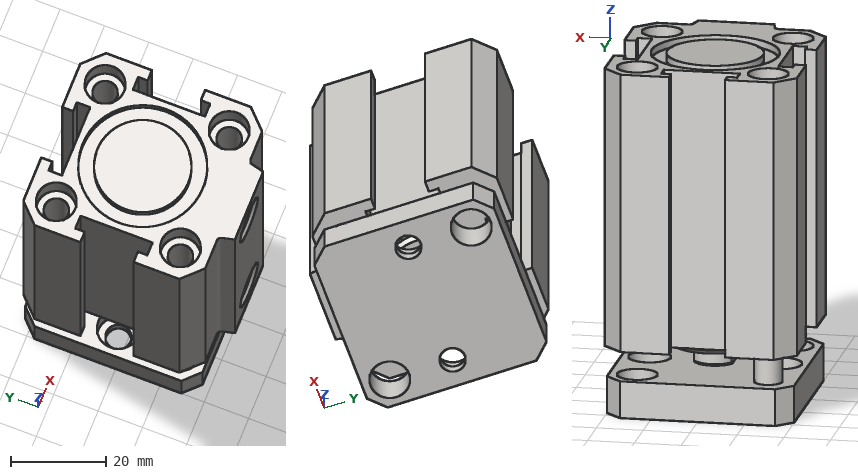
import cadquery as cq

total_height = 75.0
plate_thickness = 8.0
plate_gap = 6.5
housing_bottom = plate_thickness + plate_gap
housing_height = total_height - housing_bottom

housing_width = 41.0
housing_half = housing_width / 2
housing_chamfer = 4.2

overall_depth = 44.5
rail_height = overall_depth - housing_width
rail_face_width = 16.2
rail_root_width = 17.85
rail_root_radius = 1.0

slot_opening = 12.0
slot_inner_width = 16.2
slot_lip = 2.5
slot_depth = 5.5

hole_spacing = 28.0
hole_offset = hole_spacing / 2
hole_diameter = 5.3
counterbore_diameter = 8.55
counterbore_depth = 5.55

recess_diameter = 27.1
cap_diameter = 20.5
recess_depth = 1.65

port_diameter = 8.5
port_chamfer = 0.8
port_depth = 9.0
port_top_inset = 9.2
port_spacing = 42.0

collar_diameter = 20.5
collar_height = 2.55
collar_chamfer = 1.0
rod_diameter = 10.0
rod_tip_chamfer = 0.49
flat_width = 8.0
flat_top_drop = 3.5

plate_width = 40.0
plate_chamfer = 3.45
guide_diameter = 6.0
guide_insertion = 30.0
plate_hole_diameter = 5.5
plate_counterbore_diameter = 9.0
plate_counterbore_depth = 5.55

guide_points = [(-hole_offset, hole_offset), (hole_offset, -hole_offset)]
clearance_points = [(-hole_offset, -hole_offset), (hole_offset, hole_offset)]
side_points = [(-hole_offset, 0), (hole_offset, 0)]


def cylinders(points, diameter, bottom, height):
    """Upright cylinders at the given XY points."""
    return (
        cq.Workplane("XY")
        .workplane(offset=bottom)
        .pushPoints(points)
        .circle(diameter / 2)
        .extrude(height)
    )


def chamfered_square(width, chamfer, bottom, height):
    """Upright square block with its four vertical edges chamfered."""
    block = cq.Workplane("XY").workplane(offset=bottom).rect(width, width).extrude(height)
    return block.edges("|Z").chamfer(chamfer)


def make_outer_profile():
    """Chamfered block with a tapered rail on its -Y face and a concave fillet at each root."""
    root_half = rail_root_width / 2
    face_half = rail_face_width / 2
    body = chamfered_square(housing_width, housing_chamfer, housing_bottom, housing_height)
    rail = (
        cq.Workplane("XY")
        .workplane(offset=housing_bottom)
        .polyline([
            (-root_half, 0),
            (-root_half, -housing_half),
            (-face_half, -housing_half - rail_height),
            (face_half, -housing_half - rail_height),
            (root_half, -housing_half),
            (root_half, 0),
        ])
        .close()
        .extrude(housing_height)
    )
    edge_margin = 0.1
    root_edges = cq.selectors.BoxSelector(
        (-root_half - edge_margin, -housing_half - edge_margin, 0),
        (root_half + edge_margin, -housing_half + edge_margin, total_height),
    )
    return body.union(rail).edges("|Z").edges(root_edges).fillet(rail_root_radius)


def t_slot(angle):
    """T-shaped slot cutter for the +X face, turned about Z."""
    opening = cq.Workplane("XY").box(slot_depth, slot_opening, housing_height, centered=(False, True, False))
    inner = (
        cq.Workplane("XY")
        .box(slot_depth - slot_lip, slot_inner_width, housing_height, centered=(False, True, False))
    )
    slot = opening.union(inner).translate((housing_half - slot_depth, 0, housing_bottom))
    return slot.rotate((0, 0, 0), (0, 0, 1), angle)


def port(height):
    """Blind air port cutter with a chamfered mouth, entering the rail along +Y."""
    radius = port_diameter / 2
    return (
        cq.Workplane("XY")
        .polyline([
            (0, 0),
            (radius + port_chamfer, 0),
            (radius, port_chamfer),
            (radius, port_depth),
            (0, port_depth),
        ])
        .close()
        .revolve(360, (0, 0, 0), (0, 1, 0))
        .translate((0, -housing_half - rail_height, height))
    )


def make_piston_rod():
    """Collar and rod end below the housing, with two wrench flats facing -X and +X."""
    collar = cylinders([(0, 0)], collar_diameter, housing_bottom - collar_height, collar_height)
    collar = collar.faces("<Z").chamfer(collar_chamfer)
    rod = cylinders([(0, 0)], rod_diameter, plate_thickness, plate_gap)
    rod = rod.faces("<Z").chamfer(rod_tip_chamfer)
    flat_height = plate_gap - flat_top_drop
    flat_zone = cq.Workplane("XY").box(
        rod_diameter, rod_diameter, flat_height, centered=(True, True, False)
    )
    flat_core = cq.Workplane("XY").box(
        flat_width, rod_diameter, flat_height, centered=(True, True, False)
    )
    waste = flat_zone.cut(flat_core).translate((0, 0, plate_thickness))
    return collar.union(rod.cut(waste))


def make_housing():
    """Cylinder housing in one piece with its collar and rod end."""
    body = make_outer_profile()
    for angle in (0, 90, 180):
        body = body.cut(t_slot(angle))

    corners = guide_points + clearance_points
    body = body.cut(cylinders(corners, hole_diameter, housing_bottom, housing_height))
    body = body.cut(
        cylinders(corners, counterbore_diameter, total_height - counterbore_depth, counterbore_depth)
    )
    body = body.cut(cylinders(guide_points, guide_diameter, housing_bottom, guide_insertion))

    recess_floor = total_height - recess_depth
    recess = cylinders([(0, 0)], recess_diameter, recess_floor, recess_depth)
    cap = cylinders([(0, 0)], cap_diameter, recess_floor, recess_depth)
    body = body.cut(recess.cut(cap))

    top_port_height = total_height - port_top_inset
    for height in (top_port_height, top_port_height - port_spacing):
        body = body.cut(port(height))
    return body.union(make_piston_rod())


def make_end_plate():
    """End plate in one piece with its two guide rods."""
    plate = chamfered_square(plate_width, plate_chamfer, 0, plate_thickness)
    plate = plate.cut(cylinders(clearance_points, counterbore_diameter, 0, plate_thickness))
    plate = plate.cut(cylinders(side_points, plate_hole_diameter, 0, plate_thickness))
    plate = plate.cut(
        cylinders(
            side_points,
            plate_counterbore_diameter,
            plate_thickness - plate_counterbore_depth,
            plate_counterbore_depth,
        )
    )
    guides = cylinders(guide_points, guide_diameter, plate_thickness, plate_gap + guide_insertion)
    return plate.union(guides)


housing = make_housing()
end_plate = make_end_plate()

result = cq.Compound.makeCompound([housing.val(), end_plate.val()])